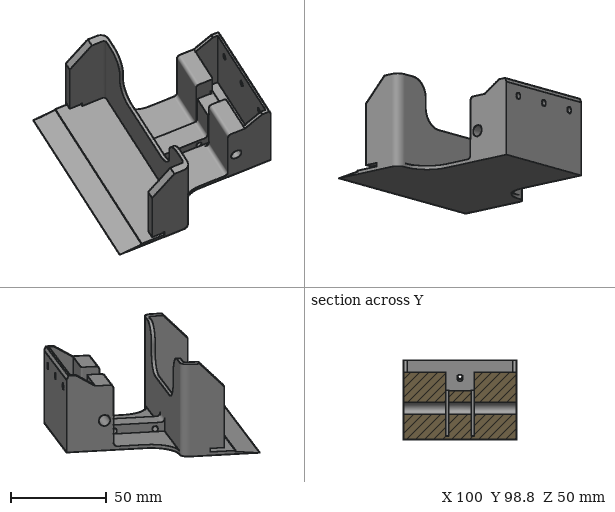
import cadquery as cq
import math

width = 100.0
length = 98.8
wall_height = 50.0
base_thickness = 2.0

wall_back = 41.8
wall_thickness = 2.0
cheek_thickness = 4.6
cheek_front = 19.0
cheek_chamfer = 13.0
outer_corner_radius = 4.5
inner_corner_radius = 1.5
undercut_back = 26.4
undercut_height = 1.9
lip_length = 12.9
lip_step = 0.6
window_half_width = 28.5
window_bottom = 25.0
window_radius = 10.0

housing_width = 59.0
housing_height = 41.5
shoulder_height = 35.3
housing_depth = 25.1
housing_front = length - housing_depth
block_back = length - 15.2
rim_depth = 5.0
back_bevel_depth = 1.0
back_bevel_height = 2.2
back_thickness = 2.2
side_thickness = 1.9
edge_radius = 2.0
flare_radius = 15.0
axle_diameter = 6.0
axle_from_back = 20.2
axle_height = 16.3

rib_width = 11.8
rib_height = 6.9
post_height = 25.8
gap_width = 14.8
web_thickness = 1.5
gap_corner_radius = 1.0
rib_hole_diameter = 3.0
rib_hole_height = 3.5
rib_hole_offset = 5.0

back_hole_diameter = 2.9
back_hole_spacing = 20.0
back_hole_height = 32.2
back_hole_tilt = 30.0


def box(x_size, y_min, y_max, z_min, z_max):
    """Box centred on X between the given Y and Z limits."""
    return cq.Workplane("XY").box(
        x_size, y_max - y_min, z_max - z_min, centered=(True, False, False)
    ).translate((0, y_min, z_min))


def side_profile(points, x_size):
    """Extrude a (Y, Z) outline symmetrically along X."""
    return cq.Workplane("YZ").polyline(points).close().extrude(x_size / 2, both=True)


def cross_hole(y, z, diameter):
    """Cylinder along X across the whole part."""
    return cq.Workplane("YZ").center(y, z).circle(diameter / 2).extrude(width / 2, both=True)


def make_tray():
    tray = box(width, cheek_front, wall_back, 0, wall_height)
    tray = tray.edges("|Z and >Y").fillet(outer_corner_radius)
    cavity = box(width - 2 * cheek_thickness, 0, wall_back - wall_thickness, base_thickness, wall_height)
    tray = tray.cut(cavity.edges("|Z and >Y").fillet(inner_corner_radius))
    corner = [
        (cheek_front, wall_height),
        (cheek_front + cheek_chamfer, wall_height),
        (cheek_front, wall_height - cheek_chamfer),
    ]
    tray = tray.cut(side_profile(corner, width))
    tray = tray.cut(box(width, 0, undercut_back, base_thickness, base_thickness + undercut_height))
    lip = [
        (0, 0),
        (lip_length, base_thickness - lip_step),
        (lip_length, base_thickness),
        (cheek_front, base_thickness),
        (cheek_front, 0),
    ]
    return tray.union(side_profile(lip, width)).cut(make_window())


def make_window():
    """Opening in the tray wall, rounded inward at the bottom and outward at the top."""
    r = window_radius
    diagonal = r * math.sqrt(0.5)
    half_floor = window_half_width - r
    half_mouth = window_half_width + r
    low_centre = window_bottom + r
    high_centre = wall_height - r
    return (
        cq.Workplane("XZ", origin=(0, wall_back, 0))
        .moveTo(-half_mouth, wall_height)
        .threePointArc((-half_mouth + diagonal, high_centre + diagonal), (-window_half_width, high_centre))
        .lineTo(-window_half_width, low_centre)
        .threePointArc((-half_floor - diagonal, low_centre - diagonal), (-half_floor, window_bottom))
        .lineTo(half_floor, window_bottom)
        .threePointArc((half_floor + diagonal, low_centre - diagonal), (window_half_width, low_centre))
        .lineTo(window_half_width, high_centre)
        .threePointArc((half_mouth - diagonal, high_centre + diagonal), (half_mouth, wall_height))
        .close()
        .extrude(wall_thickness)
    )


def make_neck():
    """Base plate behind the tray, flaring out to meet its wall."""
    flare_end = wall_back + flare_radius
    neck = box(housing_width, wall_back - wall_thickness, housing_front, 0, base_thickness)
    for side in (-1, 1):
        centre_x = side * (housing_width / 2 + flare_radius)
        flare = box(flare_radius, wall_back, flare_end, 0, base_thickness)
        flare = flare.translate((side * (housing_width + flare_radius) / 2, 0, 0))
        relief = cq.Workplane("XY").center(centre_x, flare_end).circle(flare_radius).extrude(base_thickness)
        neck = neck.union(flare.cut(relief))
    return neck


def make_housing():
    outline = [
        (housing_front, 0),
        (housing_front, shoulder_height),
        (block_back, shoulder_height),
        (length - rim_depth, housing_height),
        (length - back_bevel_depth, housing_height),
        (length, housing_height - back_bevel_height),
        (length, 0),
    ]
    housing = side_profile(outline, housing_width)
    front_top = cq.selectors.NearestToPointSelector((0, housing_front, shoulder_height))
    housing = housing.edges(front_top).fillet(edge_radius)
    pocket = box(
        housing_width - 2 * side_thickness, block_back, length - back_thickness, base_thickness, housing_height
    )
    return housing.cut(pocket)


def add_floor_fillet(body):
    """Concave round where the housing front meets the neck plate."""
    strip_front = housing_front - edge_radius
    strip_top = base_thickness + edge_radius
    strip = box(housing_width, strip_front, housing_front, base_thickness, strip_top)
    round_cut = cross_hole(strip_front, strip_top, 2 * edge_radius)
    return body.union(strip.cut(round_cut))


def cut_gap(body):
    """Split the housing block, leaving a low web at the back of the gap."""
    gap = box(gap_width, wall_back, block_back, base_thickness, housing_height)
    body = body.cut(gap)
    for side in (-1, 1):
        mid_height = (base_thickness + shoulder_height) / 2
        corner = cq.selectors.NearestToPointSelector((side * gap_width / 2, block_back, mid_height))
        body = body.edges("|Z").edges(corner).fillet(gap_corner_radius)
    return body.union(make_web())


def make_web():
    """Thin wall closing the back of the gap, its top fully rounded toward the pocket."""
    front = block_back - web_thickness
    diagonal = web_thickness * math.sqrt(0.5)
    shoulder = post_height - web_thickness
    return (
        cq.Workplane("YZ")
        .moveTo(front, base_thickness)
        .lineTo(front, post_height)
        .threePointArc((front + diagonal, shoulder + diagonal), (block_back, shoulder))
        .lineTo(block_back, base_thickness)
        .close()
        .extrude(gap_width / 2 + gap_corner_radius, both=True)
    )


def make_rib():
    """Rib along the neck, rising into a post inside the gap."""
    r = edge_radius
    bend = r * (1 - math.sqrt(0.5))
    return (
        cq.Workplane("YZ")
        .moveTo(wall_back - wall_thickness / 2, base_thickness / 2)
        .lineTo(wall_back - wall_thickness / 2, rib_height + r)
        .lineTo(wall_back, rib_height + r)
        .threePointArc((wall_back + bend, rib_height + bend), (wall_back + r, rib_height))
        .lineTo(housing_front - r, rib_height)
        .threePointArc((housing_front - bend, rib_height + bend), (housing_front, rib_height + r))
        .lineTo(housing_front, post_height)
        .lineTo(block_back - web_thickness, post_height)
        .lineTo(block_back - web_thickness, base_thickness / 2)
        .close()
        .extrude(rib_width / 2, both=True)
    )


def make_back_holes():
    """Three holes through the back panel, rising toward the outside."""
    reach = 2 * back_thickness
    inner_face = length - back_thickness
    hole = cq.Workplane("XZ").circle(back_hole_diameter / 2).extrude(reach, both=True)
    hole = hole.rotate((0, 0, 0), (1, 0, 0), back_hole_tilt)
    holes = cq.Workplane("XY")
    for index in (-1, 0, 1):
        holes = holes.add(hole.translate((index * back_hole_spacing, inner_face, back_hole_height)))
    return holes.combine()


body = make_tray().union(make_neck()).union(make_housing())
body = cut_gap(add_floor_fillet(body))
body = body.union(make_rib())
body = body.cut(cross_hole(length - axle_from_back, axle_height, axle_diameter))
for rib_hole_y in (wall_back + rib_hole_offset, housing_front - rib_hole_offset):
    body = body.cut(cross_hole(rib_hole_y, rib_hole_height, rib_hole_diameter))
result = body.cut(make_back_holes())